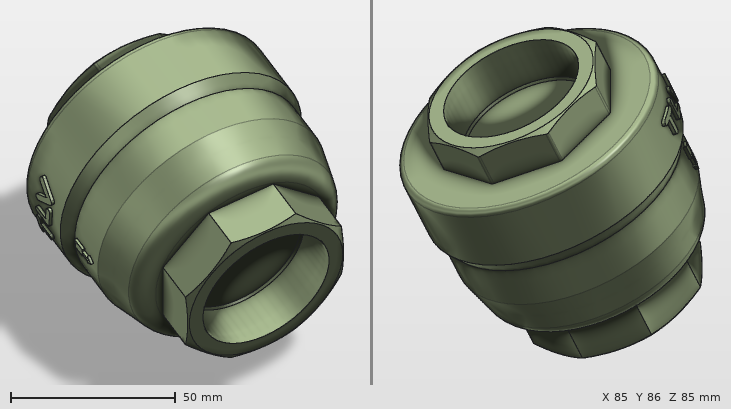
import cadquery as cq
import math

length = 85.0
overall_depth = 86.0
collar_radius = 85.0 / 2
body_radius = 80.0 / 2
outlet_face_radius = 60.0 / 2

collar_start = 12.5
collar_end = 34.0
body_start = 38.4
taper_start = 52.2
body_end = 69.9
collar_rounding = 2.0
taper_angle = math.radians(15)

octagon_flats = 54.9
octagon_corner_rounding = 1.3
end_face_radius = 27.0
end_chamfer_angle = math.radians(30)
bore_radius = 22.2
bore_floor_radius = 21.7
bore_depth = 16.0
bore_floor_chamfer = 0.9

letter_outer_radius = overall_depth - collar_radius
letter_left = 20.9
letter_right = 29.15
stroke_width = 2.15
arrow_height = 0.95
arrow_half_width = 1.5
shaft_half_width = 0.5
arrow_tail = 39.7
arrow_notch = 40.5
arrow_shaft_start = 44.5
arrow_head_start = 47.6
arrow_tip = 49.8


def x_cylinder(radius, start, end):
    return cq.Workplane("YZ", origin=(start, 0, 0)).circle(radius).extrude(end - start)


def revolve_about_x(profile):
    return profile.close().revolve(360, (0, 0, 0), (1, 0, 0))


def make_body():
    """Collar and tapered body, with a large rounding tangent to the taper and outlet face."""
    taper_length = body_end - taper_start
    slope = math.tan(taper_angle)
    radial_gap = body_radius - outlet_face_radius - taper_length * slope
    rounding = radial_gap / (1 / math.cos(taper_angle) - slope)
    center_x = body_end - rounding

    def rounding_point(angle):
        return (center_x + rounding * math.sin(angle), outlet_face_radius + rounding * math.cos(angle))

    middle_angle = (taper_angle + math.pi / 2) / 2
    rounding_shift = collar_rounding * (1 - math.sqrt(0.5))
    profile = (
        cq.Workplane("XY")
        .moveTo(collar_start, 0)
        .lineTo(collar_start, collar_radius - collar_rounding)
        .threePointArc(
            (collar_start + rounding_shift, collar_radius - rounding_shift),
            (collar_start + collar_rounding, collar_radius),
        )
        .lineTo(collar_end, collar_radius)
        .lineTo(body_start, body_radius)
        .lineTo(taper_start, body_radius)
        .lineTo(*rounding_point(taper_angle))
        .threePointArc(rounding_point(middle_angle), (body_end, outlet_face_radius))
        .lineTo(body_end, 0)
    )
    return revolve_about_x(profile)


def make_octagon_end(end_x, inner_x, corner_rounding=0):
    """Octagonal end from its outer face to the body, with a conical chamfer at the face."""
    direction = math.copysign(1, inner_x - end_x)
    prism = (
        cq.Workplane("YZ", origin=(end_x, 0, 0))
        .polygon(8, octagon_flats, circumscribed=True)
        .extrude(inner_x - end_x)
    )
    if corner_rounding:
        prism = prism.edges("|X").fillet(corner_rounding)
    clear_radius = octagon_flats
    cone_length = (clear_radius - end_face_radius) * math.tan(end_chamfer_angle)
    envelope = revolve_about_x(
        cq.Workplane("XY")
        .moveTo(end_x, 0)
        .lineTo(end_x, end_face_radius)
        .lineTo(end_x + direction * cone_length, clear_radius)
        .lineTo(inner_x + direction * cone_length, clear_radius)
        .lineTo(inner_x + direction * cone_length, 0)
    )
    return prism.intersect(envelope)


def make_bore(end_x, direction):
    """Blind bore whose floor has a small chamfer around it."""
    return revolve_about_x(
        cq.Workplane("XY")
        .moveTo(end_x, 0)
        .lineTo(end_x, bore_radius)
        .lineTo(end_x + direction * (bore_depth - bore_floor_chamfer), bore_radius)
        .lineTo(end_x + direction * bore_depth, bore_floor_radius)
        .lineTo(end_x + direction * bore_depth, 0)
    )


def make_stroke(start, end):
    """Round-ended bar between two (x, z) stroke centers, running out along -Y."""
    dx = end[0] - start[0]
    dz = end[1] - start[1]
    return (
        cq.Workplane("XZ")
        .center((start[0] + end[0]) / 2, (start[1] + end[1]) / 2)
        .slot2D(math.hypot(dx, dz) + stroke_width, stroke_width, math.degrees(math.atan2(dz, dx)))
        .extrude(overall_depth)
    )


def make_letters():
    """Three raised letters that read along Z, with tops concentric to the collar."""
    top_x = letter_left + stroke_width / 2
    foot_x = letter_right - stroke_width / 2
    t_middle, t_half_width = -8.5, 3.1
    l_stem, l_toe = -1.5, 3.8
    v_middle, v_half_width = 8.1, 3.6
    strokes = [
        ((top_x, t_middle - t_half_width), (top_x, t_middle + t_half_width)),
        ((top_x, t_middle), (foot_x, t_middle)),
        ((top_x, l_stem), (foot_x, l_stem)),
        ((foot_x, l_stem), (foot_x, l_toe)),
        ((top_x, v_middle - v_half_width), (foot_x, v_middle)),
        ((top_x, v_middle + v_half_width), (foot_x, v_middle)),
    ]
    letters = make_stroke(*strokes[0])
    for stroke in strokes[1:]:
        letters = letters.union(make_stroke(*stroke))
    return letters.intersect(x_cylinder(letter_outer_radius, collar_start, collar_end))


def make_arrow():
    """Raised flow arrow that points from the inlet to the outlet."""
    upper_half = [
        (arrow_tail, arrow_half_width),
        (arrow_shaft_start, arrow_half_width),
        (arrow_shaft_start, shaft_half_width),
        (arrow_head_start, shaft_half_width),
        (arrow_head_start, arrow_half_width),
    ]
    lower_half = [(x, -z) for x, z in reversed(upper_half)]
    outline = [(arrow_notch, 0), *upper_half, (arrow_tip, 0), *lower_half]
    prism = cq.Workplane("XZ").polyline(outline).close().extrude(overall_depth)
    return prism.intersect(x_cylinder(body_radius + arrow_height, body_start, taper_start))


body_middle = (body_start + taper_start) / 2
result = (
    make_body()
    .union(make_octagon_end(0, body_middle, octagon_corner_rounding))
    .union(make_octagon_end(length, body_middle))
    .union(make_letters())
    .union(make_arrow())
    .cut(make_bore(0, 1))
    .cut(make_bore(length, -1))
)